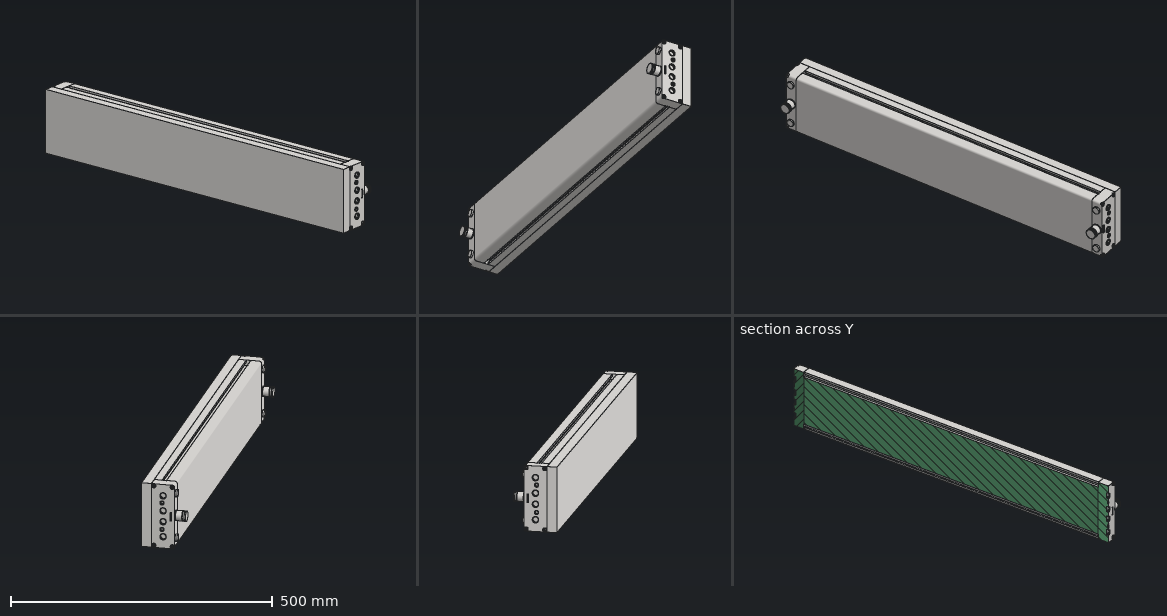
import cadquery as cq

LENGTH = 730.0
HEIGHT = 130.0
HOUSING_DEPTH = 65.0
TOTAL_DEPTH = 86.0
COVER_DEPTH = 20.0
CAP_LENGTH = 23.0
REAR_EDGE_RADIUS = 5.0

SLOT_CENTRE_Y = 39.5
SLOT_MOUTH_WIDTH = 9.0
SLOT_LIP = 4.5
SLOT_CHANNEL_WIDTH = 16.0
SLOT_DEPTH = 11.0

COUNTERBORE_DEPTH = 1.5
HOLE_DEPTH = 4.5
PORT_DIAMETER = 11.0
PORT_MOUTH_DIAMETER = 12.5
PORT_Y = 42.0
PORT_HEIGHTS = (11.0, 41.5)
PIN_HOLE_DIAMETER = 6.0
PIN_HOLE_MOUTH_DIAMETER = 8.0
PIN_HOLE_Y = 40.0
PIN_HOLE_HEIGHT = 27.0
SCREW_HOLE_DIAMETER = 4.5
SCREW_HOLE_MOUTH_DIAMETER = 8.0
SCREW_HOLE_INSET = 4.5

NOTCH_WIDTH = 2.0
NOTCH_HEIGHT = 17.0
NOTCH_DEPTH = 2.0
NOTCH_Y = 58.0

REAR_FITTING_X = (LENGTH - CAP_LENGTH) / 2
PAD_DIAMETER = 14.5
PAD_THICKNESS = 4.0
PAD_HEIGHT = 45.0
FLANGE_DIAMETER = 20.5
BARREL_DIAMETER = 20.0
NECK_DIAMETER = 17.5
COLLAR_LENGTH = 1.5
RING_START_Y = 79.0
RING_THICKNESS = 1.0
HEAD_THICKNESS = 3.0


def housing_block(x_start, x_end):
    """Stretch of the housing behind the cover, with both long rear edges rounded."""
    block = cq.Workplane("XY").box(
        x_end - x_start, HOUSING_DEPTH - COVER_DEPTH, HEIGHT, centered=(False, False, True)
    )
    return block.translate((x_start, COVER_DEPTH, 0)).edges("|X and >Y").fillet(REAR_EDGE_RADIUS)


def make_cover():
    """Plain front cover over the full length."""
    return cq.Workplane("XY").box(LENGTH, COVER_DEPTH, HEIGHT, centered=(True, False, True))


def slot_cutter(width, depth):
    """Cutter as long as the profile, of the given width, reaching the given depth below the top face."""
    cutter = cq.Workplane("XY").box(LENGTH - 2 * CAP_LENGTH, width, depth)
    return cutter.translate((0, SLOT_CENTRE_Y, HEIGHT / 2 - depth / 2))


def make_profile():
    """Middle profile between the end caps, with a T-slot along its top and bottom."""
    half_length = LENGTH / 2 - CAP_LENGTH
    channel_height = SLOT_DEPTH - SLOT_LIP
    mouth = slot_cutter(SLOT_MOUTH_WIDTH, SLOT_DEPTH)
    channel = slot_cutter(SLOT_CHANNEL_WIDTH, channel_height).translate((0, 0, -SLOT_LIP))
    t_slot = mouth.union(channel)
    return housing_block(-half_length, half_length).cut(t_slot).cut(t_slot.mirror("XY"))


def outer_face():
    """Sketch plane on the left outer face, with Y and Z as its directions."""
    return cq.Workplane("YZ", origin=(-LENGTH / 2, 0, 0))


def counterbored_holes(diameter, mouth_diameter, places):
    """Cutter for blind holes in the left outer face, at the given (Y, Z) places."""
    bores = outer_face().pushPoints(places).circle(diameter / 2).extrude(HOLE_DEPTH)
    mouths = outer_face().pushPoints(places).circle(mouth_diameter / 2).extrude(COUNTERBORE_DEPTH)
    return bores.union(mouths)


def end_face_notch():
    """Cutter for the notch in the left outer face."""
    return outer_face().center(NOTCH_Y, 0).rect(NOTCH_WIDTH, NOTCH_HEIGHT).extrude(NOTCH_DEPTH)


def connector():
    """Turned rear connector: collar, barrel, ring, neck and head, listed from the rear face outwards."""
    collar_end = HOUSING_DEPTH + COLLAR_LENGTH
    ring_end = RING_START_Y + RING_THICKNESS
    head_start = TOTAL_DEPTH - HEAD_THICKNESS
    sections = (
        (HOUSING_DEPTH, collar_end, FLANGE_DIAMETER),
        (collar_end, RING_START_Y, BARREL_DIAMETER),
        (RING_START_Y, ring_end, FLANGE_DIAMETER),
        (ring_end, head_start, NECK_DIAMETER),
        (head_start, TOTAL_DEPTH, FLANGE_DIAMETER),
    )
    half_outline = cq.Workplane("XY").moveTo(0, HOUSING_DEPTH)
    for start_y, end_y, diameter in sections:
        half_outline = half_outline.lineTo(diameter / 2, start_y).lineTo(diameter / 2, end_y)
    turned = half_outline.lineTo(0, TOTAL_DEPTH).close().revolve(360, (0, 0, 0), (0, 1, 0))
    return turned.translate((-REAR_FITTING_X, 0, 0))


def rear_pads():
    """Two round pads on the rear face, above and below the connector."""
    rear_face = cq.Workplane("XZ", origin=(-REAR_FITTING_X, HOUSING_DEPTH, 0))
    pads = rear_face.pushPoints([(0, -PAD_HEIGHT), (0, PAD_HEIGHT)])
    return pads.circle(PAD_DIAMETER / 2).extrude(-PAD_THICKNESS)


def make_left_cap():
    """End cap with its holes, notch, connector and pads."""
    ports = [(PORT_Y, side * z) for side in (-1, 1) for z in PORT_HEIGHTS]
    pin_holes = [(PIN_HOLE_Y, side * PIN_HOLE_HEIGHT) for side in (-1, 1)]
    screw_z = HEIGHT / 2 - SCREW_HOLE_INSET
    screw_ys = (COVER_DEPTH + SCREW_HOLE_INSET, HOUSING_DEPTH - SCREW_HOLE_INSET)
    screw_holes = [(y, side * screw_z) for side in (-1, 1) for y in screw_ys]

    cap = housing_block(-LENGTH / 2, -LENGTH / 2 + CAP_LENGTH)
    cap = cap.cut(counterbored_holes(PORT_DIAMETER, PORT_MOUTH_DIAMETER, ports))
    cap = cap.cut(counterbored_holes(PIN_HOLE_DIAMETER, PIN_HOLE_MOUTH_DIAMETER, pin_holes))
    cap = cap.cut(counterbored_holes(SCREW_HOLE_DIAMETER, SCREW_HOLE_MOUTH_DIAMETER, screw_holes))
    cap = cap.cut(end_face_notch())
    return cap.union(connector()).union(rear_pads())


cover = make_cover()
profile = make_profile()
left_cap = make_left_cap()
right_cap = left_cap.mirror("YZ")

result = cq.Compound.makeCompound([cover.val(), profile.val(), left_cap.val(), right_cap.val()])